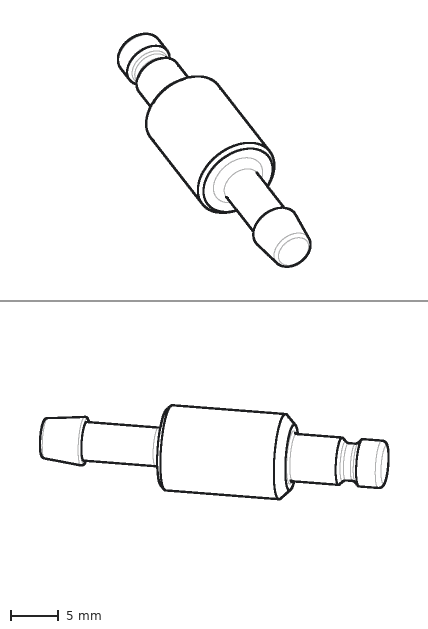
import cadquery as cq
import math

LENGTH = 36.55

PIN_DIAMETER = 5.0
PIN_END_ROUND = 0.5
GROOVE_DIAMETER = 3.95
GROOVE_START = 2.55
GROOVE_END = 4.75
GROOVE_ROOT_ROUND = 0.48
PIN_ROOT_ROUND = 0.3

BODY_DIAMETER = 9.0
BODY_START = 9.95
BODY_END = 23.55
BODY_FRONT_CHAMFER = 1.02
BODY_REAR_CHAMFER = 0.45

STEM_DIAMETER = 4.1
STEM_ROOT_ROUND = 0.85
BARB_START = 32.05
BARB_DIAMETER = 5.2
BARB_TIP_DIAMETER = 4.2
BARB_RIM_ROUND = 0.22
BARB_TIP_ROUND = 0.35

QUARTER_ARC_MIDDLE = math.sqrt(0.5)
OVERLAP = 0.35


def cylinder(start, end, diameter):
    """Solid cylinder along X between two stations."""
    return cq.Workplane("YZ", origin=(start, 0, 0)).circle(diameter / 2).extrude(end - start)


def revolve_about_x(profile):
    """Revolve a closed profile drawn in the XZ plane around the part axis."""
    return profile.close().revolve(360, (0, 0, 0), (1, 0, 0))


def groove_cutter():
    """Ring with 45 degree flanks and a rounded root."""
    outer = PIN_DIAMETER / 2
    root = GROOVE_DIAMETER / 2
    depth = outer - root
    profile = (
        cq.Workplane("XZ")
        .moveTo(GROOVE_START, outer)
        .lineTo(GROOVE_START + depth, root)
        .lineTo(GROOVE_END - depth, root)
        .lineTo(GROOVE_END, outer)
    )
    ring = revolve_about_x(profile)
    root_edges = cq.selectors.RadiusNthSelector(0)
    return ring.edges(root_edges).fillet(GROOVE_ROOT_ROUND)


def root_flare(shaft_diameter, face, radius, outward):
    """Concave quarter-round ring joining a shaft to a body face; outward is +1 or -1 along X."""
    shaft = shaft_diameter / 2
    middle = radius * (1 - QUARTER_ARC_MIDDLE)
    profile = (
        cq.Workplane("XZ")
        .moveTo(face, 0)
        .lineTo(face, shaft + radius)
        .threePointArc(
            (face + outward * middle, shaft + middle),
            (face + outward * radius, shaft),
        )
        .lineTo(face + outward * radius, 0)
    )
    return revolve_about_x(profile)


def make_pin():
    pin = cylinder(0, BODY_START + OVERLAP, PIN_DIAMETER)
    pin = pin.faces("<X").edges().fillet(PIN_END_ROUND)
    flare = root_flare(PIN_DIAMETER, BODY_START, PIN_ROOT_ROUND, -1)
    return pin.cut(groove_cutter()).union(flare)


def make_body():
    body = cylinder(BODY_START, BODY_END, BODY_DIAMETER)
    body = body.faces("<X").edges().chamfer(BODY_FRONT_CHAMFER)
    return body.faces(">X").edges().chamfer(BODY_REAR_CHAMFER)


def make_barb():
    """Cone that narrows toward the free end, with both rims rounded."""
    profile = (
        cq.Workplane("XZ")
        .moveTo(BARB_START, 0)
        .lineTo(BARB_START, BARB_DIAMETER / 2)
        .lineTo(LENGTH, BARB_TIP_DIAMETER / 2)
        .lineTo(LENGTH, 0)
    )
    barb = revolve_about_x(profile)
    barb = barb.faces("<X").edges().fillet(BARB_RIM_ROUND)
    return barb.faces(">X").edges().fillet(BARB_TIP_ROUND)


def make_hose_end():
    stem = cylinder(BODY_END - OVERLAP, BARB_START + OVERLAP, STEM_DIAMETER)
    flare = root_flare(STEM_DIAMETER, BODY_END, STEM_ROOT_ROUND, 1)
    return stem.union(flare).union(make_barb())


result = make_body().union(make_pin()).union(make_hose_end())